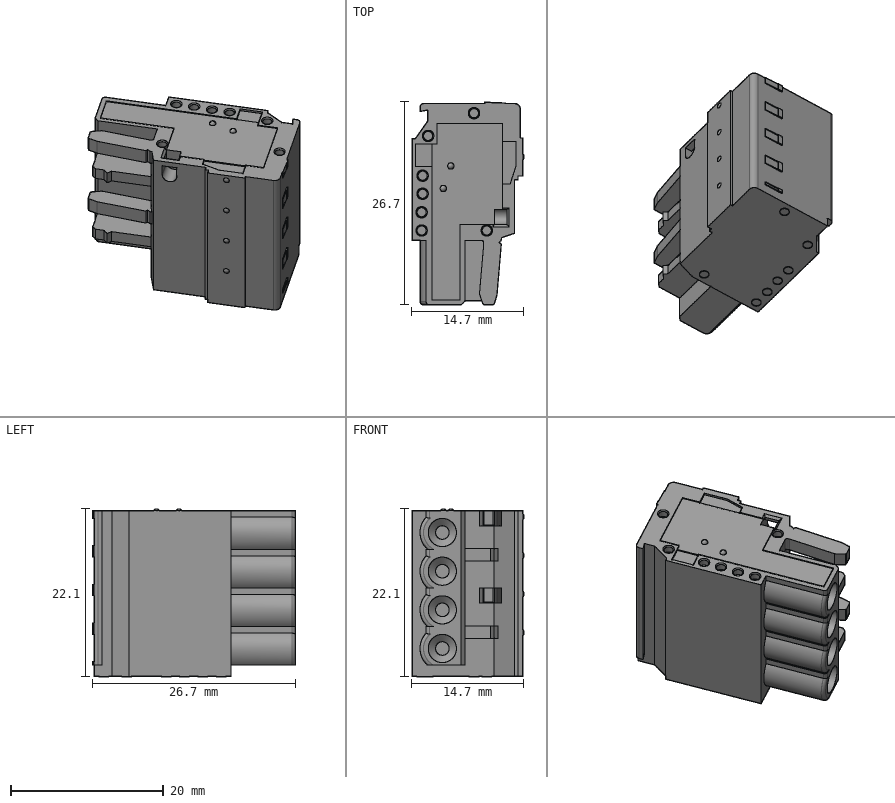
import cadquery as cq
import math

module_count = 4
stack_height = 20.35
pitch = stack_height / module_count
pin_height = 0.1
plate_height = 1.47
plate_bottom = pin_height
stack_bottom = plate_bottom + plate_height
stack_top = stack_bottom + stack_height
overall_height = 22.15

back = 26.5
face = 8.5
hook_root = 2.03
side_face = 14.58

barrel_right = 6.95
barrel_x = 3.98
barrel_radius = 2.95
barrel_drop = 2.88
slab_left = 1.85
slab_height = 1.0
front_round = 0.45
barrel_chamfer = 0.48
entry_diameter = 3.7
throat_diameter = 1.8
entry_depth = 1.34
funnel_depth = 0.93

arm_height = 2.0
arm_tip_left = 9.35
arm_tip_right = 10.8
arm_tip_chamfer = 0.13
arm_root_round = 0.32
tongue_height = 1.63
tongue_lift = 0.08
tongue_front = 0.53

tab_outline = [(9.55, back), (9.55, 26.7), (10.25, 26.7), (10.25, 26.65), (12.28, 26.6), (12.28, back)]
tab_top_height = 1.01
tab_bottom_height = 0.48

locating_points = [
    (8.15, 25.23), (2.1, 22.25), (1.4, 17.0), (1.4, 14.63), (1.25, 12.2), (1.25, 9.8), (9.83, 9.8),
]
locating_rim_diameter = 1.5
locating_hole_diameter = 1.2
locating_rim_depth = 0.15
locating_depth = 1.07
pin_diameter = 1.25

panel_depth = 0.13
pocket_depth = 0.3
panel_left = 2.6
panel_right = 11.88
knob_radius = 0.43
top_knobs = [(5.1, 18.3), (4.1, 15.33)]
side_knob_diameter = 0.77
side_knob_height = 0.15
side_knob_y = 19.5
side_knob_drop = 0.8

opening_left, opening_right = 10.81, 12.47
opening_front, opening_back = 10.6, 12.55
opening_rim_left, opening_rim_right = 10.63, 12.75
opening_rim_front, opening_rim_back = 10.28, 12.74
opening_bevel_depth = 0.32
window_top_depth = 0.75
window_axis_depth = 2.27


def prism(points, bottom, top):
    """Vertical prism over a closed outline in X and Y."""
    return cq.Workplane("XY").workplane(offset=bottom).polyline(points).close().extrude(top - bottom)


def box(x0, x1, y0, y1, z0, z1):
    """Box between opposite corners."""
    return cq.Workplane("XY").box(x1 - x0, y1 - y0, z1 - z0, centered=False).translate((x0, y0, z0))


def housing(bottom, top, with_hook):
    """Housing outline; the hook at the back left belongs to the modules only."""
    corner_x = 14.25
    corner_radius = 0.77
    arc_reach = corner_radius * math.sqrt(0.5)
    outline = (
        cq.Workplane("XY").workplane(offset=bottom)
        .moveTo(0, face).lineTo(arm_tip_right, face)
        .lineTo(13.48, 9.43).lineTo(13.48, 16.47)
        .lineTo(13.96, 16.47).lineTo(13.96, 16.95)
        .lineTo(side_face, 16.95).lineTo(side_face, 21.97)
        .lineTo(corner_x, 21.97).lineTo(corner_x, back - corner_radius)
        .threePointArc(
            (corner_x - corner_radius + arc_reach, back - corner_radius + arc_reach),
            (corner_x - corner_radius, back),
        )
    )
    if with_hook:
        hook_left = 1.05
        hook_radius = 0.5
        hook_reach = hook_radius * math.sqrt(0.5)
        outline = (
            outline.lineTo(hook_left + hook_radius, back)
            .threePointArc(
                (hook_left + hook_radius - hook_reach, back - hook_radius + hook_reach),
                (hook_left, back - hook_radius),
            )
            .lineTo(hook_left, 25.45).lineTo(hook_root, 25.63)
        )
    else:
        outline = outline.lineTo(hook_root, back)
    return outline.lineTo(hook_root, 24.16).lineTo(0.43, 21.9).lineTo(0, 21.9).close().extrude(top - bottom)


def barrel(top):
    """Rounded wire barrel under a flat slab, with a flat right side."""
    bottom = top - pitch
    tube = (
        cq.Workplane("XZ").center(barrel_x, top - barrel_drop)
        .circle(barrel_radius).extrude(-face)
        .faces("<Y").edges().fillet(front_round)
        .intersect(box(0, barrel_x, 0, face, bottom, top))
    )
    slab = box(slab_left, barrel_x, 0, face, top - slab_height, top)
    slab = slab.edges("|Z and <Y and <X").fillet(front_round)
    side = box(barrel_x, barrel_right, 0, face, bottom, top).edges("|Z and <Y and >X").chamfer(barrel_chamfer)
    return tube.union(slab).union(side)


def wire_entry(top):
    """Round entry that narrows through a funnel to its flat throat."""
    entry_radius = entry_diameter / 2
    funnel_end = entry_depth + funnel_depth
    throat_radius = throat_diameter / 2
    profile = [
        (0, 0), (entry_radius, 0), (entry_radius, entry_depth),
        (throat_radius, funnel_end), (0, funnel_end),
    ]
    entry = cq.Workplane("XY").polyline(profile).close().revolve(360, (0, 0, 0), (0, 1, 0))
    return entry.translate((barrel_x, 0, top - barrel_drop))


def latch_arm(top):
    """Tapered arm with a notched right edge and a chamfered tip."""
    root = 9.88
    root_left = 9.43
    root_right = 11.8
    bottom = top - arm_height
    outline = [
        (arm_tip_left, 0), (arm_tip_right, 0), (11.2, 1.34), (11.75, 8), (11.48, 8.2), (11.75, 8.55), (root_right, 8.92),
        (root_right, root), (root_left, root), (root_left, 8), (8.86, 1.47),
    ]
    arm = prism(outline, bottom, top)
    arm = arm.faces("<Y").edges("|Z or <Z").chamfer(arm_tip_chamfer)
    round_x = root_left - arm_root_round
    round_y = face - arm_root_round
    root_fill = box(round_x, root_left, round_y, face, bottom, top)
    hollow = (
        cq.Workplane("XY").workplane(offset=bottom)
        .center(round_x, round_y).circle(arm_root_round).extrude(arm_height)
    )
    return arm.union(root_fill.cut(hollow))


def coding_tongue(top):
    """Flat tongue beside the barrel, with a small tooth on its right edge."""
    root = 8.8
    outline = [
        (barrel_right, tongue_front), (10.3, tongue_front), (10.75, 1.0), (10.75, 2.14), (11.32, 2.7),
        (10.81, 3.2), (10.81, root), (barrel_right, root),
    ]
    tongue_top = top + tongue_lift
    return prism(outline, tongue_top - tongue_height, tongue_top)


def side_knob(top):
    """Shallow dome on a short stem sunk into the right wall."""
    half = side_knob_diameter / 2
    sink = 0.27
    radius = (half ** 2 + side_knob_height ** 2) / (2 * side_knob_height)
    arc_x = math.sqrt(radius ** 2 - half ** 2 / 4) - radius + side_knob_height
    profile = (
        cq.Workplane("XY").moveTo(-sink, 0).lineTo(-sink, half).lineTo(0, half)
        .threePointArc((arc_x, half / 2), (side_knob_height, 0)).close()
    )
    knob = profile.revolve(360, (0, 0, 0), (1, 0, 0))
    return knob.translate((side_face, side_knob_y, top - side_knob_drop))


part = housing(plate_bottom, stack_bottom, False).union(housing(stack_bottom, stack_top, True))
for index in range(module_count):
    module_top = stack_top - index * pitch
    module_bottom = module_top - pitch
    part = part.union(barrel(module_top)).cut(wire_entry(module_top))
    if index % 2 == 0:
        part = part.union(latch_arm(module_top))
    else:
        part = part.union(coding_tongue(module_top))
    part = part.union(prism(tab_outline, module_top - tab_top_height, module_top))
    part = part.union(prism(tab_outline, module_bottom, module_bottom + tab_bottom_height))
    part = part.union(side_knob(module_top))


def top_recess(points, depth):
    """Flat recess cut down from the top face."""
    return prism(points, stack_top - depth, stack_top)


panel = [
    (panel_left, 0.67), (6.27, 0.67), (6.27, opening_front), (panel_right, opening_front),
    (panel_right, 23.9), (3.28, 23.9), (3.28, 21.2), (panel_left, 21.2),
]
left_pocket = [(0.45, 18.2), (panel_left, 18.2), (panel_left, 21.2), (0.45, 21.2)]
right_pocket = [(panel_right, 15.89), (12.9, 15.89), (13.67, 18.3), (13.67, 21.5), (panel_right, 21.5)]
part = part.cut(top_recess(panel, panel_depth))
part = part.cut(top_recess(left_pocket, pocket_depth))
part = part.cut(top_recess(right_pocket, pocket_depth))


def test_opening():
    """Bevelled opening down to a round-bottomed window that leaves through the right wall."""
    rim_x = (opening_rim_left + opening_rim_right) / 2
    rim_y = (opening_rim_front + opening_rim_back) / 2
    middle_x = (opening_left + opening_right) / 2
    middle_y = (opening_front + opening_back) / 2
    width = opening_right - opening_left
    length = opening_back - opening_front
    bevel = (
        cq.Workplane("XY").workplane(offset=stack_top).center(rim_x, rim_y)
        .rect(opening_rim_right - opening_rim_left, opening_rim_back - opening_rim_front)
        .workplane(offset=-opening_bevel_depth).center(middle_x - rim_x, middle_y - rim_y)
        .rect(width, length).loft(ruled=True)
    )
    bevel = bevel.cut(box(
        opening_rim_left, panel_right, opening_front, opening_rim_back,
        stack_top - opening_bevel_depth, stack_top,
    ))
    axis_z = stack_top - window_axis_depth
    shaft = box(opening_left, opening_right, opening_front, opening_back, axis_z, stack_top)
    window_top = stack_top - window_top_depth
    window = box(opening_left, side_face, opening_front, opening_back, axis_z, window_top)
    trough = (
        cq.Workplane("YZ").workplane(offset=opening_left).center(middle_y, axis_z)
        .circle(length / 2).extrude(side_face - opening_left)
    )
    return bevel.union(shaft).union(window).union(trough)


def locating_hole(point):
    """Blind hole with a chamfered rim."""
    rim = locating_rim_diameter / 2
    bore = locating_hole_diameter / 2
    profile = [(0, 0), (rim, 0), (bore, -locating_rim_depth), (bore, -locating_depth), (0, -locating_depth)]
    hole = cq.Workplane("XZ").polyline(profile).close().revolve(360, (0, 0, 0), (0, 1, 0))
    return hole.translate((point[0], point[1], stack_top))


part = part.cut(test_opening())
for point in locating_points:
    part = part.cut(locating_hole(point))
for x, y in top_knobs:
    part = part.union(cq.Workplane("XY").sphere(knob_radius).translate((x, y, overall_height - knob_radius)))

pins = cq.Workplane("XY").pushPoints(locating_points).circle(pin_diameter / 2).extrude(stack_bottom)
result = part.union(pins)